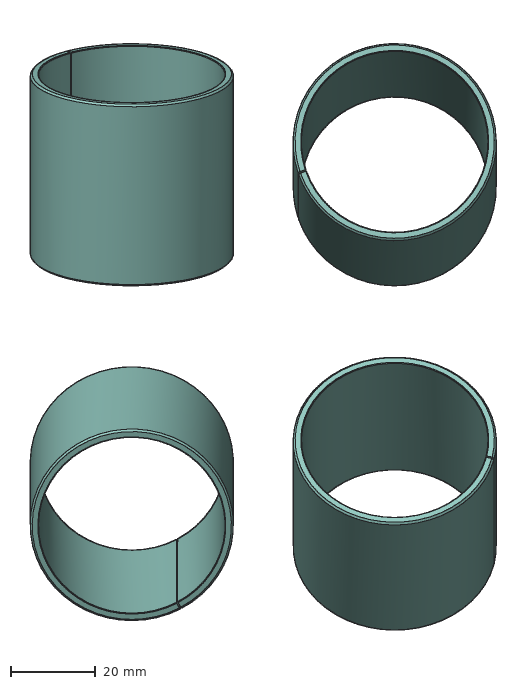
import cadquery as cq

outer_diameter = 48.0
inner_diameter = 44.0
height = 45.0
outer_chamfer = 0.5
inner_chamfer = 0.2
gap_angle = 1.0

outer_radius = outer_diameter / 2
inner_radius = inner_diameter / 2

wall_section = [
    (-inner_radius - inner_chamfer, 0),
    (-outer_radius + outer_chamfer, 0),
    (-outer_radius, outer_chamfer),
    (-outer_radius, height - outer_chamfer),
    (-outer_radius + outer_chamfer, height),
    (-inner_radius - inner_chamfer, height),
    (-inner_radius, height - inner_chamfer),
    (-inner_radius, inner_chamfer),
]

result = (
    cq.Workplane("XZ")
    .polyline(wall_section)
    .close()
    .revolve(360 - gap_angle, (0, 0), (0, 1))
)